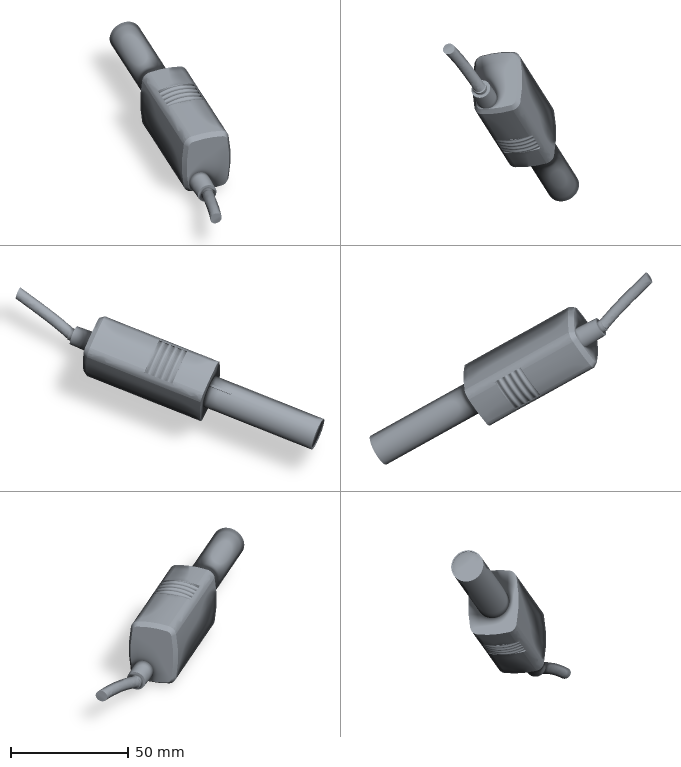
import cadquery as cq

total_length = 143.5
pin_length = 50.0
handle_length = 55.0
relief_length = 10.0
neck_length = 1.7
handle_end = pin_length + handle_length
relief_end = handle_end + relief_length
neck_end = relief_end + neck_length
joint_overlap = 1.5

pin_diameter = 14.0
tip_recess_diameter = 13.0
tip_recess_depth = 0.5
key_length = 10.0
key_width = 1.0
key_rise = 0.5

handle_half_width = 11.0
handle_half_height = 14.5
side_corner_y = 9.6
side_corner_z = 13.3
corner_radius = 4.0
rear_chamfer_length = 2.2
rear_chamfer_inset = 1.5

rib_count = 4
rib_pitch = 3.0
crest_width = 1.3
flank_width = 0.5
valley_width = rib_pitch - crest_width - 2 * flank_width
crest_height = handle_half_height + 0.7
shoulder_height = crest_height - 0.3
foot_height = crest_height - 0.6
valley_height = crest_height - 0.7
grip_length = rib_count * rib_pitch + valley_width
grip_half_width = 8.0
grip_center = 70.6
grip_bulge_radius = 18.6
grip_floor = 11.5

relief_y = -3.9
relief_z = -8.2
relief_base_diameter = 9.2
relief_tip_diameter = 8.3
neck_diameter = 5.5
cable_diameter = 5.0
cable_embed = 0.6
cable_exit = (neck_end - cable_embed, relief_y, relief_z)
cable_exit_direction = (1.0, -0.28, 0.36)
cable_end = (total_length, -10.0, -1.9)
cable_end_direction = (1.0, -0.25, 0.06)
cable_overrun = 0.7


def make_pin():
    pin = cq.Workplane("YZ").circle(pin_diameter / 2).extrude(pin_length + joint_overlap)
    recess = cq.Workplane("YZ").circle(tip_recess_diameter / 2).extrude(tip_recess_depth)
    return pin.cut(recess)


def make_key():
    """Square-edged key along the top of the pin, next to the handle."""
    return cq.Workplane("XY", origin=(pin_length - key_length, 0, 0)).box(
        key_length, key_width, pin_diameter / 2 + key_rise, centered=(False, True, False)
    )


def make_handle():
    handle = (
        cq.Workplane("YZ", origin=(pin_length, 0, 0))
        .moveTo(side_corner_y, -side_corner_z)
        .threePointArc((handle_half_width, 0), (side_corner_y, side_corner_z))
        .threePointArc((0, handle_half_height), (-side_corner_y, side_corner_z))
        .threePointArc((-handle_half_width, 0), (-side_corner_y, -side_corner_z))
        .threePointArc((0, -handle_half_height), (side_corner_y, -side_corner_z))
        .close()
        .extrude(handle_length)
        .edges("|X")
        .fillet(corner_radius)
    )
    return handle.faces(">X").edges().chamfer(rear_chamfer_length, rear_chamfer_inset)


def make_grip_block():
    """Block that fills the grip panel of the top face, up to well above the crests."""
    return cq.Workplane("XY", origin=(grip_center, 0, grip_floor)).box(
        grip_length, 2 * grip_half_width, crest_height, centered=(True, True, False)
    )


def make_top_grip():
    """Wave of rounded crests and hollow valleys, revolved about an axis along X."""
    axis_z = crest_height - grip_bulge_radius
    wave_start = grip_center - grip_length / 2
    wave_end = grip_center + grip_length / 2

    wave = cq.Workplane("XZ").moveTo(wave_start, axis_z).lineTo(wave_start, foot_height)
    for rib in range(rib_count):
        valley_start = wave_start + rib * rib_pitch
        valley_end = valley_start + valley_width
        crest_start = valley_end + flank_width
        crest_end = crest_start + crest_width
        wave = (
            wave.threePointArc(((valley_start + valley_end) / 2, valley_height), (valley_end, foot_height))
            .lineTo(crest_start, shoulder_height)
            .threePointArc(((crest_start + crest_end) / 2, crest_height), (crest_end, shoulder_height))
            .lineTo(crest_end + flank_width, foot_height)
        )
    wave = wave.threePointArc((wave_end - valley_width / 2, valley_height), (wave_end, foot_height))
    drum = (
        wave.lineTo(wave_end, axis_z)
        .close()
        .revolve(360, (wave_start, axis_z, 0), (wave_end, axis_z, 0))
    )
    return drum.intersect(make_grip_block())


def make_strain_relief():
    cone = (
        cq.Workplane("YZ", origin=(handle_end - joint_overlap, relief_y, relief_z))
        .circle(relief_base_diameter / 2)
        .workplane(offset=relief_length + joint_overlap)
        .circle(relief_tip_diameter / 2)
        .loft()
    )
    neck = (
        cq.Workplane("YZ", origin=(relief_end, relief_y, relief_z))
        .circle(neck_diameter / 2)
        .extrude(neck_length)
    )
    return cone.union(neck)


def make_cable():
    """Curved round cable, trimmed square to X at the overall length."""
    overrun_end = tuple(
        place + cable_overrun * slope for place, slope in zip(cable_end, cable_end_direction)
    )
    path = cq.Workplane("XY").spline(
        [cable_exit, overrun_end], tangents=[cable_exit_direction, cable_end_direction]
    )
    section = cq.Plane(origin=cable_exit, normal=cable_exit_direction)
    cable = cq.Workplane(section).circle(cable_diameter / 2).sweep(path)
    trim_size = 4 * handle_half_height
    trim = cq.Workplane("XY", origin=(total_length, 0, 0)).box(
        trim_size, trim_size, trim_size, centered=(False, True, True)
    )
    return cable.cut(trim)


top_grip_block = make_grip_block()
top_grip = make_top_grip()

result = (
    make_handle()
    .cut(top_grip_block)
    .cut(top_grip_block.mirror("XY"))
    .union(top_grip)
    .union(top_grip.mirror("XY"))
    .union(make_pin())
    .union(make_key())
    .union(make_strain_relief())
    .union(make_cable())
)